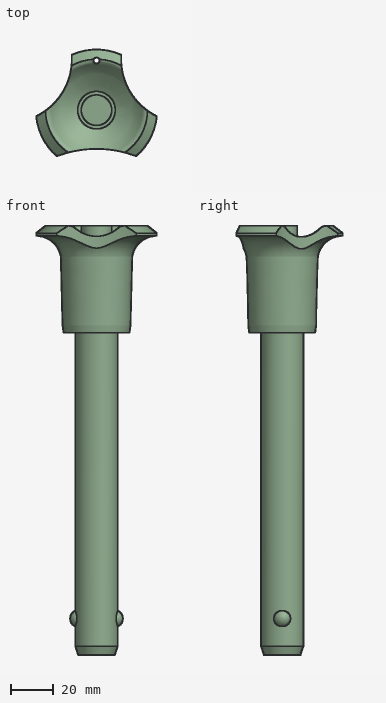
import cadquery as cq
import math


shaft_radius = 10.0
shaft_length = 151.0
tip_radius = 8.6
tip_length = 4.2

ball_radius = 4.0
ball_reach = 12.45
ball_height = 17.1

grip_height = 50.2
barrel_bottom_radius = 16.0
barrel_top_radius = 16.8
barrel_top_z = grip_height - 14.5
base_rim_height = 3.5
base_rim_radius = 15.6
base_edge_fillet = 0.6

flange_radius = 28.48
lip_top_z = grip_height - 3.5
lip_bottom_z = grip_height - 4.7
neck_middle_radius = 19.6
neck_middle_z = grip_height - 8.6
neck_end_radius = 25.0
neck_end_z = grip_height - 5.3
crest_outer_radius = 23.9
crest_inner_radius = 21.6
crest_drop = 1.2

bowl_mid_radius = 18.2
bowl_mid_depth = 5.0
bowl_floor_radius = 8.8
bowl_depth = 11.0
button_radius = 7.15

side_scallop_radius = 29.52
side_scallop_distance = 47.5
side_scallop_angles = (30, 150)
front_scallop_radius = 53.0
front_scallop_distance = 71.2

lanyard_hole_diameter = 2.8
lanyard_hole_y = 23.2

joint_overlap = 3.5


def make_shaft():
    """Round shaft with a tapered tip, running a little way into the grip."""
    return (
        cq.Workplane("XZ")
        .moveTo(0, -shaft_length)
        .lineTo(tip_radius, -shaft_length)
        .lineTo(shaft_radius, tip_length - shaft_length)
        .lineTo(shaft_radius, joint_overlap)
        .lineTo(0, joint_overlap)
        .close()
        .revolve(360, (0, 0, 0), (0, 1, 0))
    )


def make_balls():
    """Pair of locking balls standing out of opposite sides of the shaft."""
    ball_x = ball_reach - ball_radius
    ball_z = ball_height - shaft_length
    return (
        cq.Workplane("XY", origin=(0, 0, ball_z))
        .pushPoints([(-ball_x, 0), (ball_x, 0)])
        .sphere(ball_radius)
    )


def make_grip():
    """Barrel, flared flange and bowl, turned as one profile."""
    crest_width = crest_outer_radius - crest_inner_radius
    crest_round = (crest_width**2 + crest_drop**2) / (2 * crest_drop)
    bowl_middle = (bowl_mid_radius, grip_height - bowl_mid_depth)
    bowl_floor = (bowl_floor_radius, grip_height - bowl_depth)
    return (
        cq.Workplane("XZ")
        .moveTo(0, 0)
        .lineTo(base_rim_radius - base_edge_fillet, 0)
        .radiusArc((base_rim_radius, base_edge_fillet), -base_edge_fillet)
        .lineTo(barrel_bottom_radius, base_rim_height)
        .lineTo(barrel_top_radius, barrel_top_z)
        .threePointArc((neck_middle_radius, neck_middle_z), (neck_end_radius, neck_end_z))
        .lineTo(flange_radius, lip_bottom_z)
        .lineTo(flange_radius, lip_top_z)
        .lineTo(crest_outer_radius, grip_height)
        .radiusArc((crest_inner_radius, grip_height - crest_drop), -crest_round)
        .threePointArc(bowl_middle, bowl_floor)
        .lineTo(0, bowl_floor[1])
        .close()
        .revolve(360, (0, 0, 0), (0, 1, 0))
    )


def make_scallop(radius, distance, angle):
    """Upright cutter that scoops one side out of the flange."""
    center_x = distance * math.cos(math.radians(angle))
    center_y = distance * math.sin(math.radians(angle))
    return (
        cq.Workplane("XY", origin=(center_x, center_y, 0))
        .circle(radius)
        .extrude(grip_height)
    )


def make_button():
    """Push button rising from the bowl floor to the crest of the flange."""
    button_height = bowl_depth + joint_overlap
    return (
        cq.Workplane("XY", origin=(0, 0, grip_height - button_height))
        .circle(button_radius)
        .extrude(button_height)
    )


def make_lanyard_hole():
    """Vertical hole through the lobe on the +Y side."""
    return (
        cq.Workplane("XY", origin=(0, lanyard_hole_y, 0))
        .circle(lanyard_hole_diameter / 2)
        .extrude(grip_height)
    )


grip = make_grip().cut(make_scallop(front_scallop_radius, front_scallop_distance, -90))
for scallop_angle in side_scallop_angles:
    grip = grip.cut(make_scallop(side_scallop_radius, side_scallop_distance, scallop_angle))
grip = grip.cut(make_lanyard_hole())

result = grip.union(make_button()).union(make_shaft()).union(make_balls())